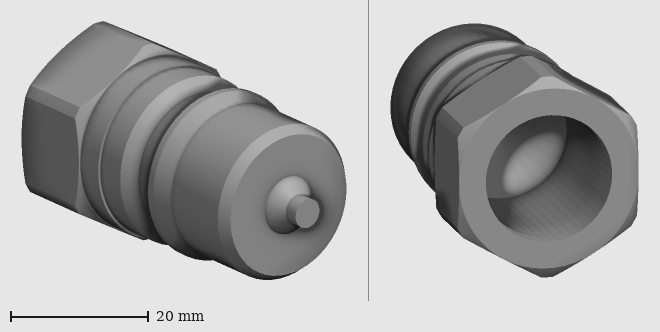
import cadquery as cq
import math

total_length = 50.0
hex_length = 13.5
across_flats = 27.0
corner_radius = 15.1
hex_bevel_angle = 30.0

collar_radius = 13.25
shoulder_radius = 12.85
groove_radius = 11.0
barrel_radius = 11.8
barrel_end_radius = 10.7
nose_base_radius = 4.4
tip_radius = 2.2

collar_end = 17.7
shoulder_end = 22.35
groove_start = 24.3
groove_end = 27.1
ridge_start = 28.9
ridge_end = 30.1
barrel_start = 33.05
barrel_chamfer_start = 43.95
barrel_end = 45.55
tip_start = 47.8

bore_radius = 9.5
bore_depth = 25.0
drill_point_angle = 118.0


def revolve_about_x(profile):
    """Revolve a closed (x, radius) profile about the X axis."""
    return profile.close().revolve(360, (0, 0, 0), (1, 0, 0))


def make_hexagon():
    """Hexagon with corners on Z, turned to a round corner and bevelled at both ends."""
    across_corners = across_flats / math.cos(math.radians(30))
    prism = cq.Workplane("YZ").polygon(6, across_corners).extrude(hex_length)
    prism = prism.rotate((0, 0, 0), (1, 0, 0), 90)
    face_radius = across_flats / 2
    bevel_length = (corner_radius - face_radius) * math.tan(math.radians(hex_bevel_angle))
    envelope = revolve_about_x(
        cq.Workplane("XY")
        .lineTo(0, face_radius)
        .lineTo(bevel_length, corner_radius)
        .lineTo(hex_length - bevel_length, corner_radius)
        .lineTo(hex_length, face_radius)
        .lineTo(hex_length, 0)
    )
    return prism.intersect(envelope)


def make_body():
    """Collar, locking groove, ridge, barrel and valve nose."""
    return revolve_about_x(
        cq.Workplane("XY")
        .lineTo(0, collar_radius)
        .lineTo(collar_end, collar_radius)
        .lineTo(collar_end, shoulder_radius)
        .lineTo(shoulder_end, shoulder_radius)
        .lineTo(groove_start, groove_radius)
        .lineTo(groove_end, groove_radius)
        .lineTo(ridge_start, shoulder_radius)
        .lineTo(ridge_end, shoulder_radius)
        .lineTo(barrel_start, barrel_radius)
        .lineTo(barrel_chamfer_start, barrel_radius)
        .lineTo(barrel_end, barrel_end_radius)
        .lineTo(barrel_end, nose_base_radius)
        .lineTo(tip_start, tip_radius)
        .lineTo(total_length, tip_radius)
        .lineTo(total_length, 0)
    )


def make_bore():
    """Bore opening at the hexagon face."""
    point_length = bore_radius / math.tan(math.radians(drill_point_angle / 2))
    return revolve_about_x(
        cq.Workplane("XY")
        .lineTo(0, bore_radius)
        .lineTo(bore_depth, bore_radius)
        .lineTo(bore_depth + point_length, 0)
    )


result = make_hexagon().union(make_body()).cut(make_bore())